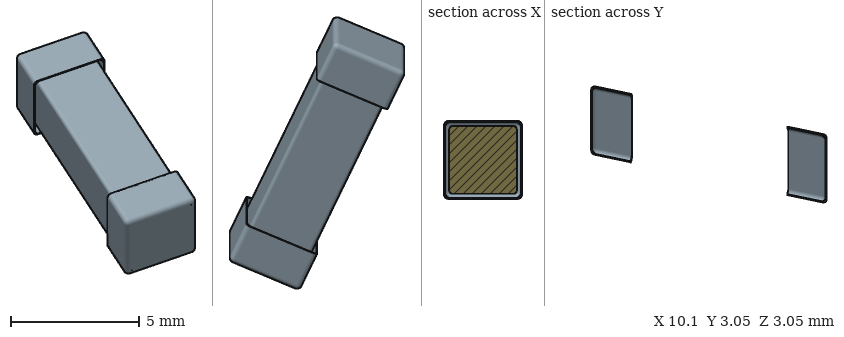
import cadquery as cq

length = 10.08
cap_side = 3.05

cap_length = 1.7
cap_round = 0.2
cap_wall = 0.05

body_side = 2.65
body_round = 0.15


def rounded_block(start_x, block_length, side, radius, edges):
    """Square block running along +X from start_x, with the selected edges rounded."""
    return (
        cq.Workplane("XY")
        .box(block_length, side, side)
        .edges(edges)
        .fillet(radius)
        .translate((start_x + block_length / 2, 0, 0))
    )


def left_cap():
    """Thin-walled square cup at the -X end, closed at its outer end, rounded outside and inside."""
    outer_x = -length / 2
    cavity_side = cap_side - 2 * cap_wall
    cavity_depth = cap_length - cap_wall
    closed_end_edges = "|X or <X"
    shell = rounded_block(outer_x, cap_length, cap_side, cap_round, closed_end_edges)
    cavity = rounded_block(outer_x + cap_wall, cavity_depth, cavity_side, cap_round, closed_end_edges)
    return shell.cut(cavity)


body_length = length - cap_wall
body = rounded_block(-body_length / 2, body_length, body_side, body_round, "|X")

cap = left_cap()
result = body.union(cap).union(cap.mirror("YZ"))